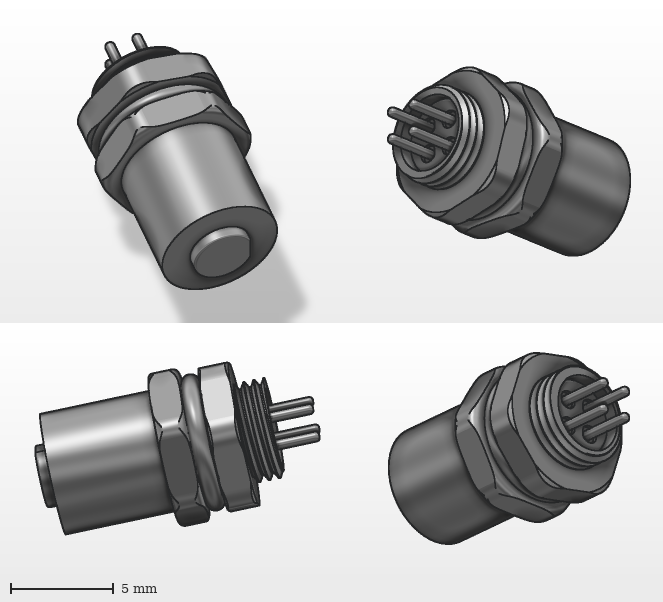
import cadquery as cq
import math

total_length = 13.7

barrel_start = 2.08
insulator_start = 2.71
nut_start = 3.6
flange_start = 6.08
flange_length = 1.52
flange_end = flange_start + flange_length
sleeve_end = 13.1
sleeve_radius = 3.0

across_flats = 7.0
hex_apothem = across_flats / 2
hex_sharp_reach = hex_apothem / math.cos(math.pi / 6)
flange_corner_radius = 1.0
flange_edge_radius = 0.41
nut_length = 1.5
nut_corner_radius = 1.5
nut_turn = 48.2
nut_chamfer_radius = 3.59
nut_chamfer_angle = 30.0

thread_radius = 2.47
thread_root_radius = 2.16
two_turn_advance = 1.0
thread_pitch = two_turn_advance / 2
thread_crest_width = 0.05
thread_base_width = 0.41
thread_crest_top = 2.19
thread_embed = 0.01

ring_section_radius = 0.45
ring_inner_radius = 2.48

insulator_radius = 1.95
insulator_rim_radius = 0.14
insert_radius = 1.55
insert_key_height = 1.41
insert_edge_radius = 0.14
pin_radius = 0.25
pin_tip_radius = 0.19
pin_spacing = 1.41
pin_offset = pin_spacing / 2
pin_places = [(y, z) for y in (-pin_offset, pin_offset) for z in (-pin_offset, pin_offset)]
pin_pocket_radius = 0.45
pin_pocket_depth = 0.2

inserts_meet = flange_end


def cylinder_x(radius, start, end):
    """Solid cylinder about the X axis between two stations."""
    return cq.Workplane("YZ", origin=(start, 0, 0)).circle(radius).extrude(end - start)


def corner_reach(corner_radius):
    """Distance from the axis to the tip of a rounded hexagon corner."""
    center_reach = (hex_apothem - corner_radius) * hex_sharp_reach / hex_apothem
    return center_reach + corner_radius


def hex_prism(start, length, corner_radius):
    """Hexagonal prism about X with rounded corners, one of them pointing to +Y."""
    prism = cq.Workplane("YZ", origin=(start, 0, 0)).polygon(6, 2 * hex_sharp_reach).extrude(length)
    return prism.edges("|X").fillet(corner_radius)


def make_barrel():
    """Right-handed threaded barrel, trimmed square at both ends."""
    first_turn = thread_crest_top - 1.5 * thread_pitch
    height = flange_start - first_turn + thread_pitch
    path = cq.Wire.makeHelix(thread_pitch, height, thread_root_radius)
    flank_slope = (thread_base_width - thread_crest_width) / 2 / (thread_radius - thread_root_radius)
    embedded_half_width = thread_base_width / 2 + thread_embed * flank_slope
    ridge = (
        cq.Workplane("XZ")
        .polyline([
            (thread_root_radius - thread_embed, -embedded_half_width),
            (thread_radius, -thread_crest_width / 2),
            (thread_radius, thread_crest_width / 2),
            (thread_root_radius - thread_embed, embedded_half_width),
        ])
        .close()
        .sweep(cq.Workplane(obj=path), isFrenet=True)
    )
    ridge = ridge.rotate((0, 0, 0), (0, 1, 0), 90).translate((first_turn, 0, 0))
    core = cylinder_x(thread_root_radius, first_turn - thread_pitch, first_turn + height + thread_pitch)
    return core.union(ridge).intersect(cylinder_x(sleeve_radius, barrel_start, flange_start))


def make_flange():
    """Hexagonal flange whose corners are rounded over by a turned edge at both faces."""
    turned = cylinder_x(corner_reach(flange_corner_radius), flange_start, flange_end)
    turned = turned.edges().fillet(flange_edge_radius)
    return hex_prism(flange_start, flange_length, flange_corner_radius).intersect(turned)


def make_insert():
    """Front insert with a flat on its +Y side and a rounded front edge."""
    insert = cylinder_x(insert_radius, inserts_meet, total_length)
    flat_depth = insert_radius - insert_key_height
    flat = cq.Workplane("XY").box(
        total_length, flat_depth, 2 * insert_radius, centered=(False, False, True)
    ).translate((0, insert_key_height, 0))
    return insert.cut(flat).faces(">X").edges().fillet(insert_edge_radius)


def make_housing(barrel, insert):
    """Threaded barrel, hexagonal flange and sleeve, bored for the two inserts."""
    housing = barrel.union(make_flange())
    housing = housing.union(cylinder_x(sleeve_radius, flange_end, sleeve_end))
    housing = housing.cut(cylinder_x(insulator_radius, barrel_start, inserts_meet))
    return housing.cut(insert)


def make_nut(barrel):
    """Hexagonal nut with both faces chamfered and a thread that mates with the barrel."""
    reach = corner_reach(nut_corner_radius)
    drop = reach - nut_chamfer_radius
    run = drop * math.tan(math.radians(nut_chamfer_angle))
    turned = cylinder_x(reach, nut_start, nut_start + nut_length).edges().chamfer(run, drop)
    prism = hex_prism(nut_start, nut_length, nut_corner_radius)
    prism = prism.rotate((0, 0, 0), (1, 0, 0), nut_turn)
    return prism.intersect(turned).cut(barrel)


def make_sealing_ring():
    """O-ring resting against the flange."""
    center_x = flange_start - ring_section_radius
    center_radius = ring_inner_radius + ring_section_radius
    return (
        cq.Workplane("XY")
        .center(center_x, center_radius)
        .circle(ring_section_radius)
        .revolve(360, (-0.14, -center_radius, 0), (0.14, -center_radius, 0))
    )


def make_pin(y, z):
    """Straight contact pin with a rounded tip."""
    pin = cylinder_x(pin_radius, 0, inserts_meet)
    return pin.faces("<X").edges().fillet(pin_tip_radius).translate((0, y, z))


def make_insulator():
    """Rear insulator with a rounded rim and a pocketed through hole for each pin."""
    insulator = cylinder_x(insulator_radius, insulator_start, inserts_meet)
    insulator = insulator.faces("<X").edges().fillet(insulator_rim_radius)
    pocket_end = insulator_start + pin_pocket_depth
    for y, z in pin_places:
        pocket = cylinder_x(pin_pocket_radius, insulator_start, pocket_end)
        hole = cylinder_x(pin_radius, insulator_start, inserts_meet)
        insulator = insulator.cut(pocket.union(hole).translate((0, y, z)))
    return insulator


front_insert = make_insert()
barrel = make_barrel()
housing = make_housing(barrel, front_insert)
nut = make_nut(barrel)
sealing_ring = make_sealing_ring()
rear_insulator = make_insulator()
pins = [make_pin(y, z) for y, z in pin_places]

result = cq.Compound.makeCompound([
    housing.val(),
    nut.val(),
    sealing_ring.val(),
    rear_insulator.val(),
    front_insert.val(),
    *[pin.val() for pin in pins],
])